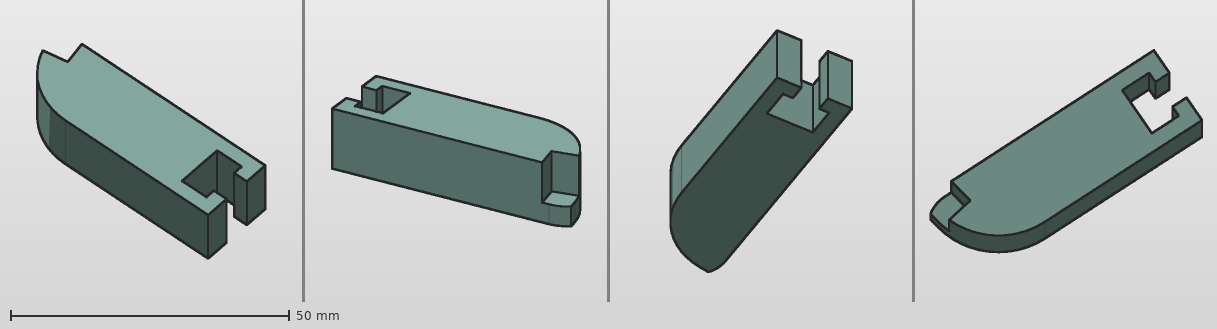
import cadquery as cq
import math

LENGTH = 49.1
WIDTH = 15.6
HEIGHT = 12.0

NOSE_RADIUS = 15.0
NOSE_TILT = math.radians(10)
TIP_DROP = 1.25
TIP_ARC_LENGTH = 3.95

NOTCH_FLOOR = 4.0
NOTCH_CORNER = (6.2, 10.75)
NOTCH_REACH = 14.75

SLOT_START = 40.25
SLOT_LENGTH = 5.8
SLOT_WIDTH = 9.6
MOUTH_WIDTH = 5.5


def make_body():
    tip = (0, WIDTH - TIP_DROP)

    flat_end_y = NOSE_RADIUS * (1 - math.sin(NOSE_TILT))
    flat_end_x = (tip[1] - flat_end_y) * math.tan(NOSE_TILT)
    nose_center_x = flat_end_x + NOSE_RADIUS * math.cos(NOSE_TILT)
    return (
        cq.Workplane("XY")
        .moveTo(LENGTH, WIDTH)
        .lineTo(TIP_ARC_LENGTH, WIDTH)
        .tangentArcPoint(tip, relative=False)
        .lineTo(flat_end_x, flat_end_y)
        .tangentArcPoint((nose_center_x, 0), relative=False)
        .lineTo(LENGTH, 0)
        .close()
        .extrude(HEIGHT)
    )


def make_notch():
    return (
        cq.Workplane("XY")
        .box(NOTCH_REACH, NOTCH_REACH, HEIGHT, centered=False)
        .translate((-NOTCH_REACH, 0, 0))
        .rotate((0, 0, 0), (0, 0, 1), math.degrees(NOSE_TILT))
        .translate((*NOTCH_CORNER, NOTCH_FLOOR))
    )


def make_slot():
    def channel(length, width):
        return (
            cq.Workplane("XY")
            .box(length, width, HEIGHT, centered=(False, True, False))
            .translate((SLOT_START, WIDTH / 2, 0))
        )

    mouth = channel(LENGTH - SLOT_START, MOUTH_WIDTH)
    return channel(SLOT_LENGTH, SLOT_WIDTH).union(mouth)


result = make_body().cut(make_notch()).cut(make_slot())